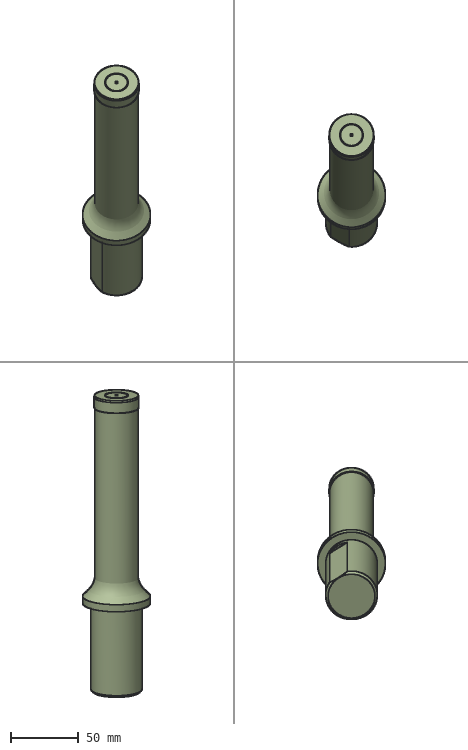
import cadquery as cq
import math

TOTAL_LENGTH = 225.3
SHANK_LENGTH = 67.1
RIM_HEIGHT = 5.5
CONE_HEIGHT = 4.7
FLARE_HEIGHT = 9.0
FLARE_START_ANGLE = 10
CAP_HEIGHT = 9.7

SHANK_DIAMETER = 38.0
FLANGE_DIAMETER = 50.0
NECK_DIAMETER = 32.2
CAP_DIAMETER = 33.1

SHANK_CHAMFER = 1.8
CAP_CHAMFER_WIDTH = 0.5
CAP_CHAMFER_HEIGHT = 1.4
CAP_LOWER_CHAMFER = 0.5

FLAT_DISTANCE = 17.3
FLAT_LENGTH = 62.5

RING_DIAMETER = 17.1
RING_WIDTH = 0.5
CENTRE_DIAMETER = 2.0
FACE_DETAIL_DEPTH = 0.2

rim_top = SHANK_LENGTH + RIM_HEIGHT
cone_top = rim_top + CONE_HEIGHT
flare_top = cone_top + FLARE_HEIGHT
cap_bottom = TOTAL_LENGTH - CAP_HEIGHT

shank_radius = SHANK_DIAMETER / 2
flange_radius = FLANGE_DIAMETER / 2
neck_radius = NECK_DIAMETER / 2
cone_top_radius = flange_radius - CONE_HEIGHT

flare_spread = cone_top_radius - neck_radius
flare_chord = math.hypot(flare_spread, FLARE_HEIGHT)
chord_angle = math.atan2(flare_spread, FLARE_HEIGHT)
flare_half_turn = chord_angle - math.radians(FLARE_START_ANGLE)
flare_sagitta = flare_chord / 2 * math.tan(flare_half_turn / 2)
flare_mid = (
    (neck_radius + cone_top_radius) / 2 - flare_sagitta * math.cos(chord_angle),
    (flare_top + cone_top) / 2 - flare_sagitta * math.sin(chord_angle),
)


def make_holder():
    """Turned holder: chamfered shank, conical flange, flare and long neck."""
    profile = (
        cq.Workplane("XZ")
        .moveTo(0, 0)
        .lineTo(shank_radius - SHANK_CHAMFER, 0)
        .lineTo(shank_radius, SHANK_CHAMFER)
        .lineTo(shank_radius, SHANK_LENGTH)
        .lineTo(flange_radius, SHANK_LENGTH)
        .lineTo(flange_radius, rim_top)
        .lineTo(cone_top_radius, cone_top)
        .threePointArc(flare_mid, (neck_radius, flare_top))
        .lineTo(neck_radius, cap_bottom)
        .lineTo(0, cap_bottom)
        .close()
    )
    return profile.revolve(360, (0, 0, 0), (0, 1, 0)).cut(make_flat_cutter())


def make_flat_cutter():
    """Block that removes the shank material outside the clamping flat."""
    block = cq.Workplane("XY").box(
        SHANK_DIAMETER, SHANK_DIAMETER, FLAT_LENGTH, centered=(True, False, False)
    )
    return block.translate((0, -FLAT_DISTANCE - SHANK_DIAMETER, 0))


def make_cap():
    """Chamfered disc on the end of the neck, with a fine ring groove and a centre dimple."""
    cap_radius = CAP_DIAMETER / 2
    cap = (
        cq.Workplane("XZ")
        .moveTo(0, cap_bottom)
        .lineTo(cap_radius - CAP_LOWER_CHAMFER, cap_bottom)
        .lineTo(cap_radius, cap_bottom + CAP_LOWER_CHAMFER)
        .lineTo(cap_radius, TOTAL_LENGTH - CAP_CHAMFER_HEIGHT)
        .lineTo(cap_radius - CAP_CHAMFER_WIDTH, TOTAL_LENGTH)
        .lineTo(0, TOTAL_LENGTH)
        .close()
        .revolve(360, (0, 0, 0), (0, 1, 0))
    )
    face = cq.Workplane("XY", origin=(0, 0, TOTAL_LENGTH))
    ring_radius = RING_DIAMETER / 2
    ring = face.circle(ring_radius).circle(ring_radius - RING_WIDTH).extrude(-FACE_DETAIL_DEPTH)
    dimple = face.circle(CENTRE_DIAMETER / 2).extrude(-FACE_DETAIL_DEPTH)
    return cap.cut(ring).cut(dimple)


holder = make_holder()
cap = make_cap()

result = cq.Compound.makeCompound([holder.val(), cap.val()])